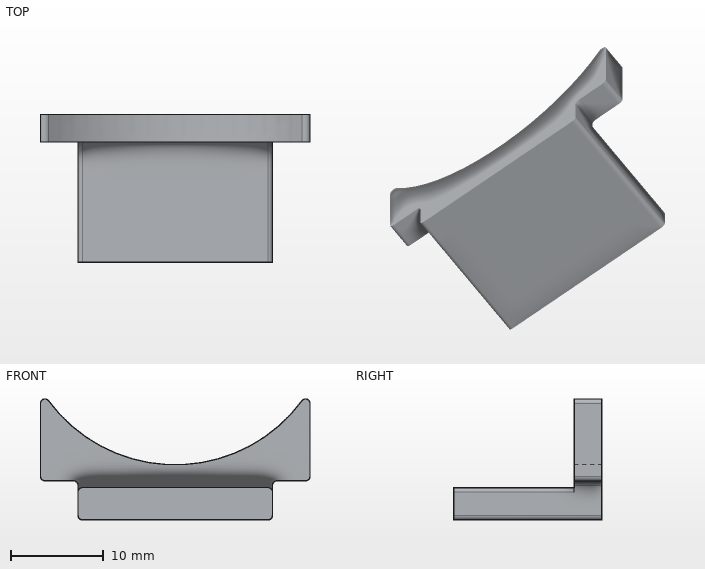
import cadquery as cq
import math

wall_width = 29.15
depth = 16.0
height = 13.1
wall_thickness = 3.0
base_width = 21.02
base_thickness = 3.5
shoulder_height = 4.23
saddle_height = 5.98
edge_radius = 0.5

wall_front = depth - wall_thickness

tip_x = wall_width / 2 - edge_radius
tip_z = height - edge_radius
tip_rise = tip_z - saddle_height
saddle_radius = (tip_x**2 + tip_rise**2 - edge_radius**2) / (2 * (tip_rise + edge_radius))
saddle_center_z = saddle_height + saddle_radius

center_distance = saddle_radius + edge_radius
toward_x = -tip_x / center_distance
toward_z = (saddle_center_z - tip_z) / center_distance
tangent_x = tip_x + edge_radius * toward_x
tangent_z = tip_z + edge_radius * toward_z

mid_angle = math.atan2(toward_z, toward_x) / 2
mid_x = tip_x + edge_radius * math.cos(mid_angle)
mid_z = tip_z + edge_radius * math.sin(mid_angle)


def make_wall():
    """Upright saddle wall, including the rear end of the base beneath it."""
    half_wall = wall_width / 2
    half_base = base_width / 2
    blank = (
        cq.Workplane("XZ", origin=(0, depth, 0))
        .moveTo(-half_base, 0)
        .lineTo(half_base, 0)
        .lineTo(half_base, shoulder_height)
        .lineTo(half_wall, shoulder_height)
        .lineTo(half_wall, tip_z)
        .threePointArc((mid_x, mid_z), (tangent_x, tangent_z))
        .threePointArc((0, saddle_height), (-tangent_x, tangent_z))
        .threePointArc((-mid_x, mid_z), (-half_wall, tip_z))
        .lineTo(-half_wall, shoulder_height)
        .lineTo(-half_base, shoulder_height)
        .close()
        .extrude(wall_thickness)
    )
    lower_corners = cq.selectors.BoxSelector(
        (-wall_width, 0, -0.3), (wall_width, depth, shoulder_height + edge_radius)
    )
    return blank.edges("|Y").edges(lower_corners).fillet(edge_radius)


def make_base():
    """Flat tongue in front of the wall, rounded along its four long edges."""
    return (
        cq.Workplane("XY")
        .box(base_width, wall_front, base_thickness, centered=(True, False, False))
        .edges("|Y")
        .fillet(edge_radius)
    )


result = make_wall().union(make_base())